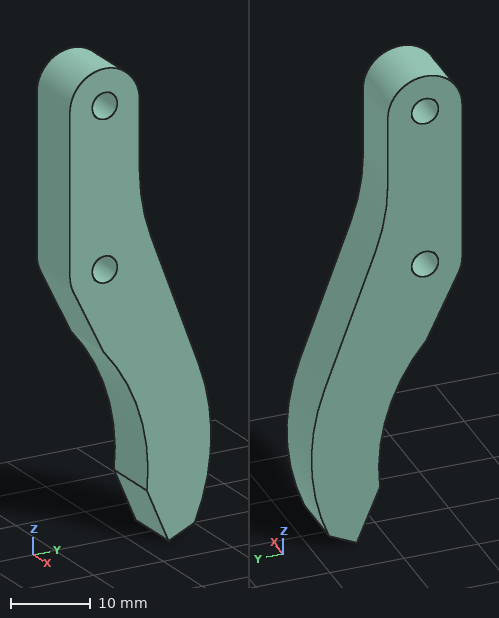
import cadquery as cq
import math

thickness = 8.5
total_height = 65.3
total_depth = 20.4
end_radius = 5.0
hole_diameter = 3.6
hole_spacing = 22.0

front_lean = math.radians(26)
lower_hole_z = -hole_spacing

back_lean = math.radians(20.5)
bend_start_z = -9.55
bend_radius = 26.8
belly_radius = 28.35
belly_y = total_depth - end_radius
belly_z = -47.15

heel_z = -58.5
tip = (9.2, end_radius - total_height)
hollow_start = (-0.2, -33.05)
hollow_middle = (4.65, -41.2)
hollow_end = (6.1, -52.9)


def point_on_circle(center_y, center_z, radius, angle):
    """Point at an angle measured from +Y toward +Z."""
    return (center_y + radius * math.cos(angle), center_z + radius * math.sin(angle))


def front_corner(angle):
    return point_on_circle(0, lower_hole_z, end_radius, math.pi + angle)


def back_bend(angle):
    return point_on_circle(end_radius + bend_radius, bend_start_z, bend_radius, math.pi + angle)


def belly(angle):
    return point_on_circle(belly_y - belly_radius, belly_z, belly_radius, angle)


def make_blade():
    heel_angle = math.asin((heel_z - belly_z) / belly_radius)
    profile = (
        cq.Workplane("YZ")
        .moveTo(-end_radius, 0)
        .threePointArc((0, end_radius), (end_radius, 0))
        .lineTo(*back_bend(0))
        .threePointArc(back_bend(back_lean / 2), back_bend(back_lean))
        .lineTo(*belly(back_lean))
        .threePointArc(belly(0), belly(heel_angle))
        .lineTo(*tip)
        .lineTo(*hollow_end)
        .threePointArc(hollow_middle, hollow_start)
        .lineTo(*front_corner(front_lean))
        .threePointArc(front_corner(front_lean / 2), front_corner(0))
        .close()
    )
    return profile.extrude(thickness / 2, both=True)


def make_holes():
    return (
        cq.Workplane("YZ")
        .pushPoints([(0, 0), (0, lower_hole_z)])
        .circle(hole_diameter / 2)
        .extrude(thickness, both=True)
    )


result = make_blade().cut(make_holes())